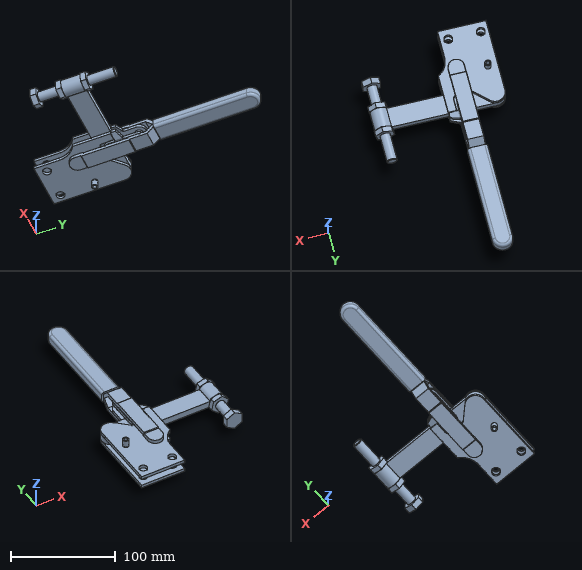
import cadquery as cq
import math


arm_thickness = 7.2
sheet = 3.5
strap_thickness = 4.0
plate_inner = arm_thickness / 2
plate_outer = plate_inner + sheet

strap_width = 16.0
strap_radius = strap_width / 2
handle_pivot_y = 42.0
link_lower_y = 78.0
link_upper_y = 106.0
spacer_radius = 4.2

arm_height = 20.2
arm_y = 74.2
arm_pivot_x = -29.7
arm_top = arm_y + arm_height / 2
arm_bottom = arm_y - arm_height / 2
lobe_radius = arm_height / 2
spindle_x = 82.1
hex_flats = 17.2
boss_radius = hex_flats / 2
screw_radius = 5.0
screw_top = 117.9
screw_chamfer = 0.7
head_bottom = 31.8
head_height = 6.5
nut_height = 5.5
nut_turn = 12.5

base_left = arm_pivot_x - lobe_radius
base_right = strap_radius
post_right = 18.5
flare_radius = 21.0
flare_start_y = 26.7
notch_left = -9.5
notch_right = 10.2
notch_bottom = 69.0
notch_fillet = 3.0
mount_hole_diameter = 8.4
mount_hole_pitch = 32.0
mount_hole_y = 10.2

pin_y = 46.9
pin_radius = 3.0
pin_length = 30.0
pin_bore_radius = 1.9

tab_root_x = 8.8
tab_root_top = 92.8
tab_tip_x = 18.0
tab_tip_top = 89.3
tab_tip_gap = 3.2

joggle = 1.0
joggle_run = 0.7
joggle_top = 99.5
joggle_bottom = 48.7
fork_shoulder_y = 117.9
shoulder_angle = 45
grip_bottom = 124.8
grip_top = 232.0
grip_width = 20.0
grip_thickness = 12.3
grip_fillet = 3.0


def disc(x, y, radius, half_length):
    """Cylinder along Z, centred on Z = 0."""
    bottom = cq.Workplane("XY", origin=(x, y, -half_length))
    return bottom.circle(radius).extrude(2 * half_length)


def hexagon(y, height, turn):
    """Hexagonal prism on the spindle axis, growing in +Y, with its top corner turned toward +X."""
    prism = cq.Workplane("XY").polygon(6, hex_flats, circumscribed=True).extrude(height)
    prism = prism.rotate((0, 0, 0), (0, 0, 1), turn)
    return prism.rotate((0, 0, 0), (1, 0, 0), -90).translate((spindle_x, y, 0))


def spindle_cylinder(y, radius, height):
    """Cylinder on the spindle axis, growing in +Y."""
    axis_start = cq.Vector(spindle_x, y, 0)
    return cq.Workplane(cq.Solid.makeCylinder(radius, height, axis_start, cq.Vector(0, 1, 0)))


def base_plate():
    to_lobe_x = arm_pivot_x - notch_left
    to_lobe_y = arm_y - notch_bottom
    distance = math.hypot(to_lobe_x, to_lobe_y)
    slope = math.atan2(to_lobe_y, to_lobe_x) - math.asin(lobe_radius / distance)
    tangent_angle = slope - math.pi / 2

    def on_lobe(angle):
        return (arm_pivot_x + lobe_radius * math.cos(angle), arm_y + lobe_radius * math.sin(angle))

    flare_angle = math.acos((flare_radius - post_right + base_right) / flare_radius)

    def on_flare(angle):
        from_foot = flare_radius * (1 - math.cos(angle))
        return (base_right + from_foot, flare_start_y + flare_radius * math.sin(angle))

    plate = (
        cq.Workplane("XY", origin=(0, 0, plate_inner))
        .moveTo(base_left, 0)
        .lineTo(base_right, 0)
        .lineTo(base_right, flare_start_y)
        .threePointArc(on_flare(flare_angle / 2), on_flare(flare_angle))
        .lineTo(post_right, arm_top)
        .lineTo(notch_right, arm_top)
        .lineTo(notch_right, notch_bottom + notch_fillet)
        .radiusArc((notch_right - notch_fillet, notch_bottom), notch_fillet)
        .lineTo(notch_left, notch_bottom)
        .lineTo(*on_lobe(tangent_angle))
        .threePointArc(on_lobe((tangent_angle + math.pi) / 2), (base_left, arm_y))
        .close()
        .extrude(sheet)
    )
    holes = (
        cq.Workplane("XY")
        .pushPoints([(0, mount_hole_y), (-mount_hole_pitch, mount_hole_y)])
        .circle(mount_hole_diameter / 2)
        .extrude(plate_outer)
    )
    return plate.cut(holes)


def stop_pin():
    """Pin through both plates, bored at each end down to the plate surface."""
    pin = disc(arm_pivot_x, pin_y, pin_radius, pin_length / 2)
    bore = disc(arm_pivot_x, pin_y, pin_bore_radius, pin_length / 2)
    return pin.cut(bore.cut(disc(arm_pivot_x, pin_y, pin_radius, plate_outer)))


def make_base():
    plate = base_plate()
    spacer = disc(0, handle_pivot_y, spacer_radius, plate_inner)
    return plate.union(plate.mirror("XY")).union(spacer).union(stop_pin())


def make_arm():
    round_end = disc(arm_pivot_x, arm_y, lobe_radius, plate_inner)
    bar_length = spindle_x - arm_pivot_x
    bar = cq.Workplane("XY").box(bar_length, arm_height, arm_thickness)
    bar = bar.translate((arm_pivot_x + bar_length / 2, arm_y, 0))
    boss = spindle_cylinder(arm_bottom, boss_radius, arm_height)
    screw_hole = spindle_cylinder(arm_bottom, screw_radius, arm_height)
    return bar.union(round_end).union(boss).cut(screw_hole)


def link_plate():
    centre_distance = link_upper_y - link_lower_y
    return (
        cq.Workplane("XY", origin=(0, (link_lower_y + link_upper_y) / 2, plate_inner))
        .slot2D(centre_distance + strap_width, strap_width, 90)
        .extrude(sheet)
    )


def link_tab():
    """Tab that starts flat at the plate edge and then slopes toward Z = 0."""
    tip_inner = tab_tip_gap / 2
    strip = (
        cq.Workplane("XZ")
        .polyline([
            (0, plate_inner),
            (tab_root_x, plate_inner),
            (tab_tip_x, tip_inner),
            (tab_tip_x, tip_inner + sheet),
            (tab_root_x, plate_outer),
            (0, plate_outer),
        ])
        .close()
        .extrude(-tab_root_top)
    )
    outline = (
        cq.Workplane("XY")
        .polyline([
            (0, arm_top),
            (tab_tip_x, arm_top),
            (tab_tip_x, tab_tip_top),
            (tab_root_x, tab_root_top),
            (0, tab_root_top),
        ])
        .close()
        .extrude(plate_outer)
    )
    return strip.intersect(outline)


def make_link():
    side = link_plate().union(link_tab())
    spacer = disc(0, link_upper_y, spacer_radius, plate_inner)
    return side.union(side.mirror("XY")).union(spacer)


def fork_leg():
    """Bent strap: shoulder under the grip, then a shallow outward joggle, then a round end."""
    strap_outer = plate_outer + strap_thickness
    shoulder_offset = strap_thickness * math.tan(math.radians(shoulder_angle / 2))
    joggle_offset = strap_thickness * math.tan(math.atan2(joggle, joggle_run) / 2)
    shoulder_inner_y = fork_shoulder_y - shoulder_offset
    shoulder_slope = math.tan(math.radians(shoulder_angle))
    strap_end = handle_pivot_y - strap_radius
    profile = (
        cq.Workplane("YZ")
        .polyline([
            (grip_bottom, 0),
            (grip_bottom, strap_outer - shoulder_slope * (grip_bottom - fork_shoulder_y)),
            (fork_shoulder_y, strap_outer),
            (joggle_top, strap_outer),
            (joggle_top - joggle_run, strap_outer + joggle),
            (joggle_bottom + joggle_run, strap_outer + joggle),
            (joggle_bottom, strap_outer),
            (strap_end, strap_outer),
            (strap_end, plate_outer),
            (joggle_bottom + joggle_offset, plate_outer),
            (joggle_bottom + joggle_run + joggle_offset, plate_outer + joggle),
            (joggle_top - joggle_run - joggle_offset, plate_outer + joggle),
            (joggle_top - joggle_offset, plate_outer),
            (shoulder_inner_y, plate_outer),
            (shoulder_inner_y + plate_outer / shoulder_slope, 0),
        ])
        .close()
        .extrude(strap_radius, both=True)
    )
    outline = (
        cq.Workplane("XY")
        .moveTo(-strap_radius, grip_bottom)
        .lineTo(-strap_radius, handle_pivot_y)
        .threePointArc((0, strap_end), (strap_radius, handle_pivot_y))
        .lineTo(strap_radius, grip_bottom)
        .close()
        .extrude(strap_outer + joggle)
    )
    return profile.intersect(outline)


def make_grip():
    radius = grip_width / 2
    return (
        cq.Workplane("XY", origin=(0, 0, -grip_thickness / 2))
        .moveTo(-radius, grip_bottom)
        .lineTo(radius, grip_bottom)
        .lineTo(radius, grip_top - radius)
        .threePointArc((0, grip_top), (-radius, grip_top - radius))
        .close()
        .extrude(grip_thickness)
        .faces("|Z")
        .edges("not <Y")
        .fillet(grip_fillet)
    )


def make_handle():
    leg = fork_leg()
    return make_grip().union(leg).union(leg.mirror("XY"))


def make_spindle():
    screw = spindle_cylinder(head_bottom, screw_radius, screw_top - head_bottom)
    screw = screw.faces(">Y").chamfer(screw_chamfer)
    return (
        screw.union(hexagon(head_bottom, head_height, 0))
        .union(hexagon(arm_top, nut_height, nut_turn))
        .union(hexagon(arm_bottom - nut_height, nut_height, nut_turn))
    )


base = make_base()
arm = make_arm()
link = make_link()
handle = make_handle()
spindle = make_spindle()

result = cq.Compound.makeCompound([base.val(), arm.val(), link.val(), handle.val(), spindle.val()])